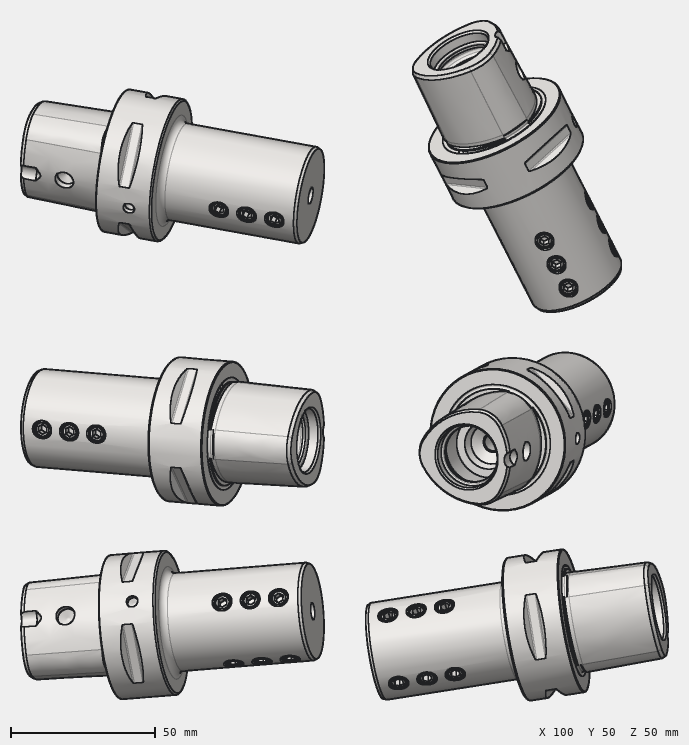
import cadquery as cq
import math


flange_radius = 25.0
flange_length = 20.0
flange_front_chamfer = 0.3
flange_rear_chamfer = 0.6

shank_radius = 17.0
shank_end_x = 70.0
shank_fillet = 2.5
shank_end_chamfer_length = 1.1
shank_end_chamfer_depth = 0.5

taper_length = 30.0
taper_half_width = 17.5
lobe_reach = 18.6
lobe_count = 3
taper_slope = 1 / 40
neck_length = 2.0
nose_chamfer_length = 1.3
nose_chamfer_depth = 0.7

relief_radius = 18.0
relief_outer_radius = 19.5
relief_step = 0.5
relief_depth = 0.5
relief_trim_radius = 21.0

mouth_radius = 11.6
pilot_radius = 11.0
collar_radius = 10.3
lip_radius = 9.9
bore_radius = 11.3
groove_radius = 12.8
groove_corner_radius = 1.5
groove_wall_angle = 45.0
mouth_chamfer_depth = 0.8
pilot_depth = 4.2
collar_depth = 4.6
lip_depth = 5.0
groove_start_depth = 6.0
groove_end_depth = 8.5
bore_depth = 20.0
pocket_radius = 8.3
pocket_bottom_radius = 7.1
pocket_depth = 3.0
funnel_end_radius = 3.4
channel_radius = 2.9
drill_tip_half_angle = math.radians(59)
notch_tip_half_angle = math.radians(45)

side_hole_radius = 3.3
side_hole_x = -13.9
side_hole_surface = 16.4
side_hole_depth = 3.0
mark_hole_radius = 2.0
mark_hole_x = 12.0
mark_hole_depth = 2.0
notch_radius = 3.1
notch_depth = 5.5
notch_axis_y = -17.0

slot_x = flange_length / 2
slot_floor_distance = 22.3
slot_floor_width = 3.6
slot_wall_angle = math.radians(30)
slot_floor_fillet = 0.5
slot_count = 4
slot_first_angle = 45.0

screw_radius = 3.0
screw_length = 8.0
screw_top_distance = 16.5
screw_chamfer = 0.6
socket_sides = 6
socket_width = 3.0
socket_depth = 3.0
screw_hole_chamfer = 0.5
screw_positions = [42.0, 52.0, 62.0]
screw_row_angles = [90.0, 180.0, 270.0]

triangle_side = 2 * (lobe_reach - taper_half_width) / (2 / math.sqrt(3) - 1)
corner_distance = triangle_side / math.sqrt(3)
lobe_radius = lobe_reach - corner_distance
flank_radius = lobe_radius + triangle_side


def polar(radius, degrees):
    angle = math.radians(degrees)
    return radius * math.cos(angle), radius * math.sin(angle)


def revolve_x(profile):
    """Revolve a profile of (x, radius) about the X axis."""
    return profile.close().revolve(360, (0, 0, 0), (1, 0, 0))


def lobed_outline(x, shrink):
    """Three-lobed wire at x, moved inward by shrink, with one lobe on +Y."""
    lobe_pitch = 360 / lobe_count
    half_lobe = lobe_pitch / 4

    def lobe_point(lobe_angle, normal_angle):
        corner = polar(corner_distance, lobe_angle)
        offset = polar(lobe_radius - shrink, normal_angle)
        return corner[0] + offset[0], corner[1] + offset[1]

    outline = cq.Workplane("YZ", origin=(x, 0, 0)).moveTo(*lobe_point(0, -half_lobe))
    for i in range(lobe_count):
        lobe = i * lobe_pitch
        flank_middle = polar(flank_radius - shrink - corner_distance, lobe + lobe_pitch / 2)
        next_lobe = lobe + lobe_pitch
        outline = outline.threePointArc(lobe_point(lobe, lobe), lobe_point(lobe, lobe + half_lobe))
        outline = outline.threePointArc(flank_middle, lobe_point(next_lobe, next_lobe - half_lobe))
    return outline.close().val()


def lobed_section(start_x, start_shrink, end_x, end_shrink):
    wires = [lobed_outline(start_x, start_shrink), lobed_outline(end_x, end_shrink)]
    return cq.Workplane(cq.Solid.makeLoft(wires, True))


def make_taper():
    nose_x = -taper_length
    chamfer_x = nose_x + nose_chamfer_length
    chamfer_shrink = (-neck_length - chamfer_x) * taper_slope
    nose = lobed_section(nose_x, nose_chamfer_depth + chamfer_shrink, chamfer_x, chamfer_shrink)
    cone = lobed_section(chamfer_x, chamfer_shrink, -neck_length, 0)
    neck = lobed_section(-neck_length, 0, flange_length / 2, 0)
    return nose.union(cone).union(neck)


def make_relief():
    """Ring that trims the lobes behind the taper and sinks a rounded channel into the flange."""
    channel_middle_radius = (relief_radius + relief_outer_radius) / 2
    return revolve_x(
        cq.Workplane("XY")
        .moveTo(-relief_step, relief_radius)
        .threePointArc((relief_depth, channel_middle_radius), (0, relief_outer_radius))
        .lineTo(0, relief_trim_radius)
        .lineTo(-neck_length, relief_trim_radius)
        .lineTo(-neck_length, lobe_reach)
        .lineTo(-neck_length + lobe_reach - relief_radius, relief_radius)
    )


def make_flange_and_shank():
    fillet_center_radius = shank_radius + shank_fillet
    fillet_end_x = flange_length + shank_fillet
    fillet_mid = shank_fillet * math.sqrt(0.5)
    return revolve_x(
        cq.Workplane("XY")
        .moveTo(-relief_step, 0)
        .lineTo(-relief_step, relief_radius)
        .lineTo(0, relief_radius)
        .lineTo(0, flange_radius - flange_front_chamfer)
        .lineTo(flange_front_chamfer, flange_radius)
        .lineTo(flange_length - flange_rear_chamfer, flange_radius)
        .lineTo(flange_length, flange_radius - flange_rear_chamfer)
        .lineTo(flange_length, fillet_center_radius)
        .threePointArc(
            (fillet_end_x - fillet_mid, fillet_center_radius - fillet_mid),
            (fillet_end_x, shank_radius),
        )
        .lineTo(shank_end_x - shank_end_chamfer_length, shank_radius)
        .lineTo(shank_end_x, shank_radius - shank_end_chamfer_depth)
        .lineTo(shank_end_x, 0)
    )


def make_bore():
    nose_x = -taper_length
    groove_end_x = nose_x + groove_end_depth
    corner_tangent = groove_corner_radius * math.tan(math.radians(groove_wall_angle / 2))
    groove_wall_length = (groove_radius - bore_radius) / math.tan(math.radians(groove_wall_angle))
    corner_center_radius = groove_radius - groove_corner_radius
    corner_middle_offset = polar(groove_corner_radius, 90 - groove_wall_angle / 2)
    corner_end_offset = polar(groove_corner_radius, 90 - groove_wall_angle)
    corner_middle = (
        groove_end_x - corner_tangent + corner_middle_offset[0],
        corner_center_radius + corner_middle_offset[1],
    )
    corner_end = (
        groove_end_x - corner_tangent + corner_end_offset[0],
        corner_center_radius + corner_end_offset[1],
    )
    floor_x = nose_x + bore_depth
    funnel_x = floor_x + pocket_depth
    funnel_end_x = funnel_x + (pocket_bottom_radius - funnel_end_radius) / math.tan(drill_tip_half_angle)
    return revolve_x(
        cq.Workplane("XY")
        .moveTo(nose_x, 0)
        .lineTo(nose_x, mouth_radius)
        .lineTo(nose_x + mouth_chamfer_depth, pilot_radius)
        .lineTo(nose_x + pilot_depth, pilot_radius)
        .lineTo(nose_x + collar_depth, collar_radius)
        .lineTo(nose_x + lip_depth, lip_radius)
        .lineTo(nose_x + groove_start_depth, lip_radius)
        .lineTo(nose_x + groove_start_depth, groove_radius)
        .lineTo(groove_end_x - corner_tangent, groove_radius)
        .threePointArc(corner_middle, corner_end)
        .lineTo(groove_end_x + groove_wall_length, bore_radius)
        .lineTo(floor_x, bore_radius)
        .lineTo(floor_x, pocket_radius)
        .lineTo(funnel_x, pocket_bottom_radius)
        .lineTo(funnel_end_x, funnel_end_radius)
        .lineTo(funnel_end_x, channel_radius)
        .lineTo(shank_end_x, channel_radius)
        .lineTo(shank_end_x, 0)
    )


def drill(radius, depth, point, direction, tip_half_angle=drill_tip_half_angle):
    """Cylinder with a conical tip, going from point along direction."""
    tip_length = radius / math.tan(tip_half_angle)
    start = cq.Vector(*point)
    axis = cq.Vector(*direction)
    body = cq.Solid.makeCylinder(radius, depth, start, axis)
    tip = cq.Solid.makeCone(radius, 0, tip_length, start + axis * depth, axis)
    return cq.Workplane(body).union(cq.Workplane(tip))


def make_slot(angle):
    """Flat-bottomed V slot across the flange rim, turned by angle about X."""
    depth = flange_radius - slot_floor_distance
    half_floor = slot_floor_width / 2
    half_top = half_floor + depth * math.tan(slot_wall_angle)
    slot = (
        cq.Workplane("XZ", origin=(slot_x, 0, 0))
        .moveTo(-half_floor, slot_floor_distance)
        .lineTo(half_floor, slot_floor_distance)
        .lineTo(half_top, flange_radius)
        .lineTo(-half_top, flange_radius)
        .close()
        .extrude(flange_radius, both=True)
        .edges("<Z and |Y")
        .fillet(slot_floor_fillet)
    )
    return slot.rotate((0, 0, 0), (1, 0, 0), angle)


def place_on_shank(shape, x, row_angle):
    """Move a shape built along +Z to its x and turn it about X into its row."""
    return shape.translate((x, 0, 0)).rotate((0, 0, 0), (1, 0, 0), row_angle)


def make_screw_hole():
    bottom = screw_top_distance - screw_length
    hole = cq.Workplane("XY", origin=(0, 0, bottom)).circle(screw_radius).extrude(flange_radius - bottom)
    rim_radius = screw_radius + screw_hole_chamfer
    countersink_base = cq.Vector(0, 0, shank_radius - screw_hole_chamfer)
    countersink = cq.Solid.makeCone(screw_radius, rim_radius, screw_hole_chamfer, countersink_base)
    return hole.union(cq.Workplane(countersink))


def make_set_screw():
    socket_corner_diameter = socket_width / math.cos(math.pi / socket_sides)
    return (
        cq.Workplane("XY", origin=(0, 0, screw_top_distance - screw_length))
        .circle(screw_radius)
        .extrude(screw_length)
        .faces(">Z")
        .chamfer(screw_chamfer)
        .faces(">Z")
        .workplane()
        .transformed(rotate=(0, 0, 90))
        .polygon(socket_sides, socket_corner_diameter)
        .cutBlind(-socket_depth)
    )


def make_holder():
    holder = make_flange_and_shank().union(make_taper()).cut(make_relief()).cut(make_bore())
    side_hole = drill(side_hole_radius, side_hole_depth, (side_hole_x, -side_hole_surface, 0), (0, 1, 0))
    mark_hole = drill(mark_hole_radius, mark_hole_depth, (mark_hole_x, -flange_radius, 0), (0, 1, 0))
    nose_notch = drill(
        notch_radius, notch_depth, (-taper_length, notch_axis_y, 0), (1, 0, 0), notch_tip_half_angle
    )
    holder = holder.cut(side_hole).cut(mark_hole).cut(nose_notch)
    for i in range(slot_count):
        holder = holder.cut(make_slot(slot_first_angle + i * 360 / slot_count))
    for row_angle in screw_row_angles:
        for x in screw_positions:
            holder = holder.cut(place_on_shank(make_screw_hole(), x, row_angle))
    return holder


holder = make_holder()
set_screws = [
    place_on_shank(make_set_screw(), x, row_angle).val()
    for row_angle in screw_row_angles
    for x in screw_positions
]

result = cq.Compound.makeCompound([holder.val(), *set_screws])